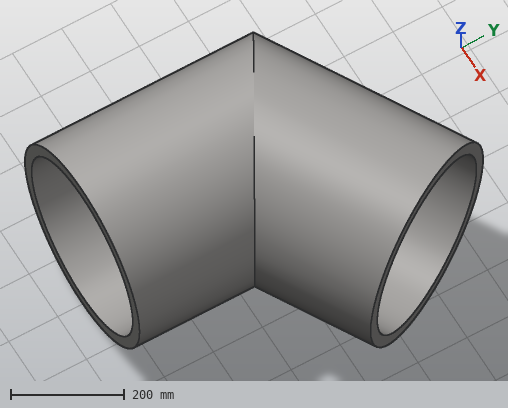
import cadquery as cq
import math

overall_length = 698.0
outer_diameter = 400.0
wall = 24.0
bend_angle = 60.0

outer_radius = outer_diameter / 2
inner_radius = outer_radius - wall
bend = math.radians(bend_angle)

leg_length = (overall_length - outer_radius * math.sin(bend)) / (1 + math.cos(bend))

inlet = (0, -leg_length)
mitre = (0, 0)
outlet = (leg_length * math.sin(bend), leg_length * math.cos(bend))
centreline = cq.Workplane("XY").polyline([inlet, mitre, outlet])

inlet_plane = cq.Plane(origin=(*inlet, 0), xDir=(1, 0, 0), normal=(0, 1, 0))
ring = cq.Workplane(inlet_plane).circle(outer_radius).circle(inner_radius)
result = ring.sweep(centreline, transition="right")